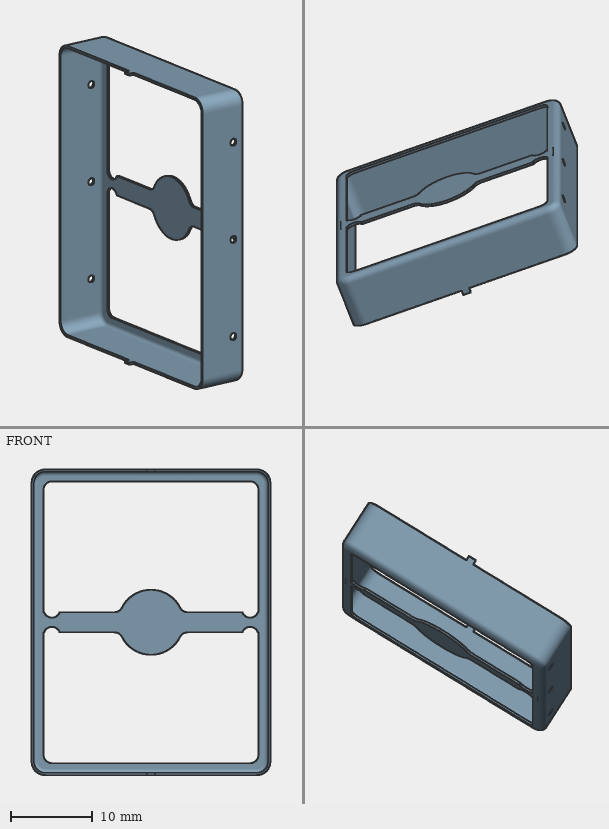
import cadquery as cq

WIDTH = 29.3
HEIGHT = 37.5
WALL_DEPTH = 6.5
SHEET = 0.3
CORNER_RADIUS = 1.7
BEND_RADIUS = 0.8

FLANGE_WIDTH = 1.5
WINDOW_CORNER_RADIUS = 1.0

BAR_HEIGHT = 2.5
DISC_DIAMETER = 8.0
DISC_BLEND_RADIUS = 1.0
NOTCH_RADIUS = 1.0
NECK_HEIGHT = 1.15

HOLE_DIAMETER = 0.9
HOLE_PITCH = 12.5
HOLE_COUNT = 3
HOLE_SETBACK = 1.8

TAB_WIDTH = 1.0
TAB_LENGTH = 0.6

WINDOW_WIDTH = WIDTH - 2 * FLANGE_WIDTH
WINDOW_HEIGHT = HEIGHT - 2 * FLANGE_WIDTH


def rounded_block(inset, depth):
    """Block from the rim to the given depth, rounded at its corners and back edge."""
    return (
        cq.Workplane("XY")
        .box(WIDTH - 2 * inset, depth, HEIGHT - 2 * inset)
        .translate((0, depth / 2, 0))
        .edges("|Y")
        .fillet(CORNER_RADIUS - inset)
        .faces(">Y")
        .edges()
        .fillet(BEND_RADIUS - inset)
    )


def make_shell():
    """Walls and closed back of uniform sheet thickness."""
    return rounded_block(0, WALL_DEPTH).cut(rounded_block(SHEET, WALL_DEPTH - SHEET))


def make_window():
    """Rounded rectangular opening through the back."""
    return (
        cq.Workplane("XY")
        .box(WINDOW_WIDTH, 2 * SHEET, WINDOW_HEIGHT)
        .edges("|Y")
        .fillet(WINDOW_CORNER_RADIUS)
        .translate((0, WALL_DEPTH, 0))
    )


def make_cross_bar():
    """Bar across the window with a blended disc and notched ends."""
    bar_length = WINDOW_WIDTH + FLANGE_WIDTH
    bar = cq.Workplane("XY").box(bar_length, SHEET, BAR_HEIGHT)
    disc = cq.Workplane("XZ").circle(DISC_DIAMETER / 2).extrude(SHEET / 2, both=True)
    junction_span = DISC_DIAMETER + BAR_HEIGHT
    junctions = cq.selectors.BoxSelector(
        (-junction_span / 2, -SHEET, -BAR_HEIGHT),
        (junction_span / 2, SHEET, BAR_HEIGHT),
    )
    bar = bar.union(disc).edges("|Y").edges(junctions).fillet(DISC_BLEND_RADIUS)
    return bar.translate((0, WALL_DEPTH - SHEET / 2, 0))


def make_notches():
    """Round reliefs above and below each end of the bar, tangent to the window's sides."""
    notch_x = WINDOW_WIDTH / 2 - NOTCH_RADIUS
    notch_z = NECK_HEIGHT / 2 + NOTCH_RADIUS
    return (
        cq.Workplane("XZ")
        .rarray(2 * notch_x, 2 * notch_z, 2, 2)
        .circle(NOTCH_RADIUS)
        .extrude(SHEET, both=True)
        .translate((0, WALL_DEPTH, 0))
    )


def make_side_holes():
    """Row of holes through both side walls."""
    return (
        cq.Workplane("YZ")
        .center(WALL_DEPTH - HOLE_SETBACK, 0)
        .rarray(1, HOLE_PITCH, 1, HOLE_COUNT)
        .circle(HOLE_DIAMETER / 2)
        .extrude(WIDTH, both=True)
    )


def make_tab(side):
    """Tab on the rim of the upper (side = 1) or lower (side = -1) wall."""
    tab_z = side * (HEIGHT - SHEET) / 2
    return cq.Workplane("XY").box(TAB_WIDTH, 2 * TAB_LENGTH, SHEET).translate((0, 0, tab_z))


result = make_shell().cut(make_window()).union(make_cross_bar())
result = result.cut(make_notches()).cut(make_side_holes())
for wall_side in (-1, 1):
    result = result.union(make_tab(wall_side))